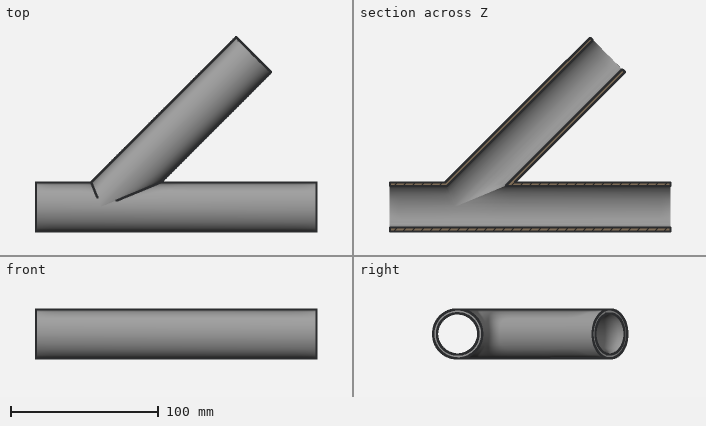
import cadquery as cq
import math

OUTER_DIAMETER = 33.4
INNER_DIAMETER = 27.86

RUN_LENGTH = 190.5
BRANCH_LENGTH = 146.05
BRANCH_ANGLE = 45.0
JUNCTION_X = RUN_LENGTH - BRANCH_LENGTH


def run_cylinder(diameter):
    """Cylinder along X, over the full length of the run."""
    return cq.Workplane("YZ").circle(diameter / 2).extrude(RUN_LENGTH)


def branch_cylinder(diameter):
    """Cylinder from the crossing of the axes to the branch end."""
    angle = math.radians(BRANCH_ANGLE)
    direction = (math.cos(angle), math.sin(angle), 0)
    base = cq.Plane(origin=(JUNCTION_X, 0, 0), xDir=(0, 0, 1), normal=direction)
    return cq.Workplane(base).circle(diameter / 2).extrude(BRANCH_LENGTH)


body = run_cylinder(OUTER_DIAMETER).union(branch_cylinder(OUTER_DIAMETER))
result = body.cut(run_cylinder(INNER_DIAMETER)).cut(branch_cylinder(INNER_DIAMETER))